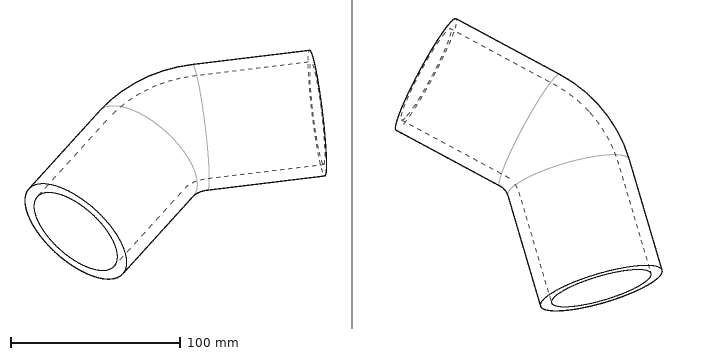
import cadquery as cq
import math

outer_diameter = 75.0
bore_diameter = 61.3
bend_angle = 45.0
overall_length = 180.2
leg_length = 70.0

turn = math.radians(bend_angle)
bend_radius = (overall_length - leg_length) / math.sin(turn) - leg_length - outer_diameter / 2


def pipe_section(workplane):
    """Ring-shaped cross-section of the pipe."""
    return workplane.circle(outer_diameter / 2).circle(bore_diameter / 2)


bend_end_x = bend_radius * (1 - math.cos(turn))
bend_end_y = bend_radius * math.sin(turn)

inlet_plane = cq.Plane(origin=(0, 0, 0), xDir=(1, 0, 0), normal=(0, -1, 0))
outlet_plane = cq.Plane(
    origin=(bend_end_x, bend_end_y, 0),
    xDir=(0, 0, 1),
    normal=(math.sin(turn), math.cos(turn), 0),
)

inlet_leg = pipe_section(cq.Workplane(inlet_plane)).extrude(leg_length)
outlet_leg = pipe_section(cq.Workplane(outlet_plane)).extrude(leg_length)

bend = pipe_section(cq.Workplane(inlet_plane)).revolve(
    bend_angle, (bend_radius, 1.8, 0), (bend_radius, 0, 0)
)

result = inlet_leg.union(bend).union(outlet_leg)